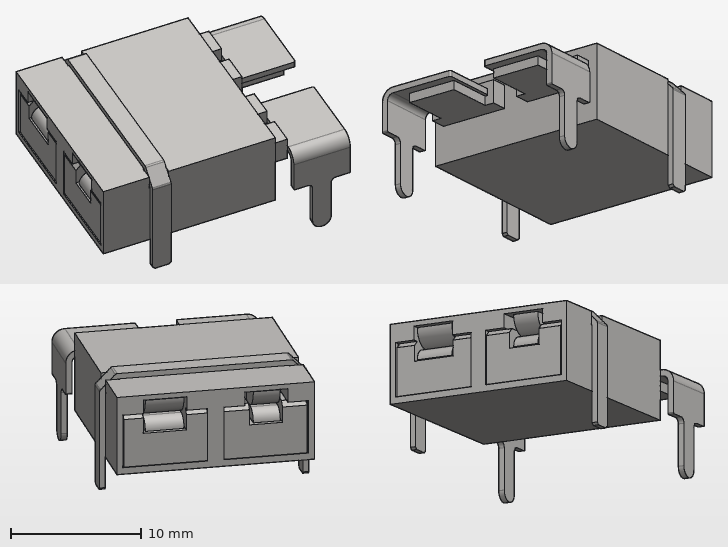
import cadquery as cq


BODY_WIDTH = 15.57
BODY_LENGTH = 14.64
BODY_HEIGHT = 6.34

STRAP_WIDTH = 16.5
STRAP_FRONT = 3.98
STRAP_LENGTH = 1.58
STRAP_TOP = 6.78
STRAP_BOTTOM = -2.67
STRAP_CORNER = 1.3
STRAP_BEND_RADIUS = 0.2
STRAP_TIP_CHAMFER = 0.19
NOTCH_CORNER = 1.1
NOTCH_CLEARANCE = 0.06

PANEL_INNER_X = 0.65
PANEL_OUTER_X = 7.32
PANEL_BOTTOM = 0.55
PANEL_TOP = 4.84
PANEL_RECESS = 0.1
PANEL_BEVEL = 0.4
PANEL_GAP = 0.1
PANEL_GAP_DEPTH = 0.42

SLOT_CENTER_X = 3.98
SLOT_WIDTH = 3.4
NARROW_SLOT_WIDTH = 2.6
SLOT_BOTTOM = 3.2
SLOT_TOP = 5.95
SLOT_DEPTH = 2.5
CONTACT_SETBACK = 0.2
CONTACT_BOTTOM = 3.3
CONTACT_TOP = 5.84
CONTACT_MEETING_Z = 4.3
CONTACT_GAP = 0.06
WIDE_CONTACT_WIDTH = 3.05
NARROW_CONTACT_WIDTH = 2.13
NARROW_CONTACT_CENTER_X = 4.07

NECK_INNER_X = 1.1
NECK_OUTER_X = 7.0
NECK_BOTTOM = 3.13
NECK_TOP = 5.07
NECK_GROOVE_WIDTH = 1.33
SHELF_INNER_X = 1.92
SHELF_OUTER_X = 6.2
SHELF_END = 20.0

TERMINAL_FRONT = 16.03
TERMINAL_END = 20.85
TERMINAL_INNER_X = 1.6
TERMINAL_OUTER_X = 8.17
TERMINAL_TOP = 4.4
TERMINAL_THICKNESS = 0.5
BEND_INNER_RADIUS = 0.52
PLATE_CORNER_RADIUS = 0.17
TAB_BOTTOM = 0.8
TAB_CORNER_RADIUS = 0.1
PIN_WIDTH = 1.58
PIN_CENTER_Y = 18.43
PIN_BOTTOM = -3.77
PIN_ROOT_RADIUS = 0.42


def box(x_min, x_max, y_min, y_max, z_min, z_max):
    """Box given by its limits on each axis."""
    size = (x_max - x_min, y_max - y_min, z_max - z_min)
    return cq.Workplane("XY").box(*size, centered=False).translate((x_min, y_min, z_min))


def extrude_along_y(profile, y_min, y_max):
    """Solid from an XZ profile, spanning y_min to y_max."""
    return profile.extrude(y_min - y_max).translate((0, y_min, 0))


def bevelled_portal(half_width, top, bottom, corner):
    """XZ outline of a rectangle with 45 degree bevels on its two top corners."""
    points = [
        (-half_width, bottom),
        (-half_width, top - corner),
        (-half_width + corner, top),
        (half_width - corner, top),
        (half_width, top - corner),
        (half_width, bottom),
    ]
    return cq.Workplane("XZ").polyline(points).close()


def make_housing():
    """Plain block with its top corners bevelled off where the strap crosses."""
    half_width = BODY_WIDTH / 2
    body = box(-half_width, half_width, 0, BODY_LENGTH, 0, BODY_HEIGHT)
    notch_front = STRAP_FRONT - NOTCH_CLEARANCE
    notch_end = STRAP_FRONT + STRAP_LENGTH
    band = box(-half_width, half_width, notch_front, notch_end, 0, BODY_HEIGHT)
    kept = extrude_along_y(
        bevelled_portal(half_width, BODY_HEIGHT, 0, NOTCH_CORNER),
        notch_front, notch_end,
    )
    return body.cut(band.cut(kept))


def make_strap():
    """Constant-thickness strap over the top and down both sides of the housing."""
    strap_end = STRAP_FRONT + STRAP_LENGTH
    outside = extrude_along_y(
        bevelled_portal(STRAP_WIDTH / 2, STRAP_TOP, STRAP_BOTTOM, STRAP_CORNER), STRAP_FRONT, strap_end
    )
    outside = outside.edges("|Y and (not <Z)").fillet(STRAP_BEND_RADIUS)
    outside = outside.faces("<Z").edges("|X").chamfer(STRAP_TIP_CHAMFER)
    inside = extrude_along_y(
        bevelled_portal(BODY_WIDTH / 2, BODY_HEIGHT, STRAP_BOTTOM, NOTCH_CORNER), STRAP_FRONT, strap_end
    )
    return outside.cut(inside)


def panel_recess():
    """Cutter for the +X panel: shallow recess, bevel above it and a gap on its outer side."""
    profile = [
        (0, PANEL_BOTTOM),
        (PANEL_RECESS, PANEL_BOTTOM),
        (PANEL_RECESS, PANEL_TOP - PANEL_BEVEL),
        (PANEL_RECESS + PANEL_BEVEL, PANEL_TOP),
        (0, PANEL_TOP),
    ]
    recess = (
        cq.Workplane("YZ")
        .polyline(profile)
        .close()
        .extrude(PANEL_OUTER_X - PANEL_INNER_X)
        .translate((PANEL_INNER_X, 0, 0))
    )
    gap = box(PANEL_OUTER_X - PANEL_GAP, PANEL_OUTER_X, 0, PANEL_GAP_DEPTH, PANEL_BOTTOM, PANEL_TOP)
    return recess.union(gap)


def slot(center_x, lower_width):
    """Cutter for a blade slot whose lower part, in the panel, has its own width."""
    lower = box(
        center_x - lower_width / 2, center_x + lower_width / 2, 0, SLOT_DEPTH, SLOT_BOTTOM, PANEL_TOP
    )
    upper = box(
        center_x - SLOT_WIDTH / 2, center_x + SLOT_WIDTH / 2, 0, SLOT_DEPTH, PANEL_TOP, SLOT_TOP
    )
    return lower.union(upper)


def spring_contact(center_x, width, root_z, tip_z):
    """Contact with a quarter-round front, curving from root_z to tip_z as it goes back."""
    radius = abs(tip_z - root_z)
    arc_radius = radius if tip_z > root_z else -radius
    return (
        cq.Workplane("YZ")
        .moveTo(CONTACT_SETBACK, root_z)
        .radiusArc((CONTACT_SETBACK + radius, tip_z), arc_radius)
        .lineTo(SLOT_DEPTH, tip_z)
        .lineTo(SLOT_DEPTH, root_z)
        .close()
        .extrude(width)
        .translate((center_x - width / 2, 0, 0))
    )


def contact_pair(center_x, width):
    """Lower and upper contacts facing each other across a thin gap."""
    lower = spring_contact(center_x, width, CONTACT_BOTTOM, CONTACT_MEETING_Z - CONTACT_GAP / 2)
    upper = spring_contact(center_x, width, CONTACT_TOP, CONTACT_MEETING_Z + CONTACT_GAP / 2)
    return lower.union(upper)


def make_neck():
    """Neck on the +X side with a groove along its top and a shelf behind it."""
    neck = box(NECK_INNER_X, NECK_OUTER_X, BODY_LENGTH, TERMINAL_FRONT, NECK_BOTTOM, NECK_TOP)
    center_x = (NECK_INNER_X + NECK_OUTER_X) / 2
    shelf_top = TERMINAL_TOP - TERMINAL_THICKNESS
    groove = box(
        center_x - NECK_GROOVE_WIDTH / 2, center_x + NECK_GROOVE_WIDTH / 2,
        BODY_LENGTH, TERMINAL_FRONT, shelf_top, NECK_TOP,
    )
    shelf = box(
        SHELF_INNER_X, SHELF_OUTER_X, TERMINAL_FRONT, SHELF_END,
        NECK_BOTTOM, shelf_top,
    )
    return neck.cut(groove).union(shelf)


def make_terminal():
    """Terminal on the +X side: flat plate, bend, side tab and solder pin."""
    tab_inner_x = TERMINAL_OUTER_X - TERMINAL_THICKNESS
    plate_bottom = TERMINAL_TOP - TERMINAL_THICKNESS
    outside = box(
        TERMINAL_INNER_X, TERMINAL_OUTER_X, TERMINAL_FRONT, TERMINAL_END, TAB_BOTTOM, TERMINAL_TOP
    ).edges("|Y and >X and >Z").fillet(BEND_INNER_RADIUS + TERMINAL_THICKNESS)
    inside = box(
        TERMINAL_INNER_X, tab_inner_x, TERMINAL_FRONT, TERMINAL_END, TAB_BOTTOM, plate_bottom
    ).edges("|Y and >X and >Z").fillet(BEND_INNER_RADIUS)
    bracket = outside.cut(inside)
    bracket = bracket.edges("|Z and <X").fillet(PLATE_CORNER_RADIUS)
    bracket = bracket.edges("|X and <Z").fillet(TAB_CORNER_RADIUS)

    pin_front = PIN_CENTER_Y - PIN_WIDTH / 2
    pin_end = PIN_CENTER_Y + PIN_WIDTH / 2
    round_start = PIN_BOTTOM + PIN_WIDTH / 2
    root_z = TAB_BOTTOM - PIN_ROOT_RADIUS
    pin = (
        cq.Workplane("YZ")
        .moveTo(pin_front - PIN_ROOT_RADIUS, TAB_BOTTOM)
        .radiusArc((pin_front, root_z), PIN_ROOT_RADIUS)
        .lineTo(pin_front, round_start)
        .threePointArc((PIN_CENTER_Y, PIN_BOTTOM), (pin_end, round_start))
        .lineTo(pin_end, root_z)
        .radiusArc((pin_end + PIN_ROOT_RADIUS, TAB_BOTTOM), PIN_ROOT_RADIUS)
        .close()
        .extrude(TERMINAL_THICKNESS)
        .translate((tab_inner_x, 0, 0))
    )
    return bracket.union(pin)


right_recess = panel_recess()
right_pole = make_neck().union(make_terminal())

result = (
    make_housing()
    .cut(right_recess)
    .cut(right_recess.mirror("YZ"))
    .cut(slot(-SLOT_CENTER_X, SLOT_WIDTH))
    .cut(slot(SLOT_CENTER_X, NARROW_SLOT_WIDTH))
    .union(contact_pair(-SLOT_CENTER_X, WIDE_CONTACT_WIDTH))
    .union(contact_pair(NARROW_CONTACT_CENTER_X, NARROW_CONTACT_WIDTH))
    .union(make_strap())
    .union(right_pole)
    .union(right_pole.mirror("YZ"))
)